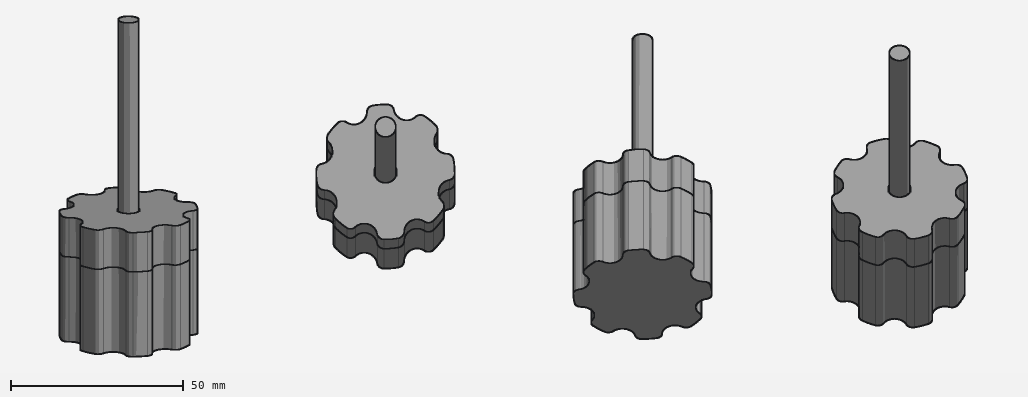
import cadquery as cq

crest_radius = 20.0
flute_count = 8
flute_radius = 3.8
lip_radius = 2.0
base_height = 26.0
cap_height = 12.0

total_height = 96.3
rod_diameter = 6.0
rod_hole_diameter = 6.55

rod_length = total_height - base_height


def fluted_disc(height, bottom):
    """Round disc with rounded-lip flutes centred on its crest circle."""
    disc = cq.Workplane("XY").circle(crest_radius).extrude(height)
    flutes = (
        cq.Workplane("XY")
        .polarArray(crest_radius, 0, 360, flute_count)
        .circle(flute_radius)
        .extrude(height)
    )
    disc = disc.cut(flutes).edges("|Z").fillet(lip_radius)
    return disc.translate((0, 0, bottom))


def make_base():
    return fluted_disc(base_height, 0)


def make_cap():
    cap = fluted_disc(cap_height, base_height)
    rod_hole = (
        cq.Workplane("XY")
        .workplane(offset=base_height)
        .circle(rod_hole_diameter / 2)
        .extrude(cap_height)
    )
    return cap.cut(rod_hole)


def make_rod():
    return (
        cq.Workplane("XY")
        .workplane(offset=base_height)
        .circle(rod_diameter / 2)
        .extrude(rod_length)
    )


base = make_base()
cap = make_cap()
rod = make_rod()

result = cq.Compound.makeCompound([base.val(), cap.val(), rod.val()])